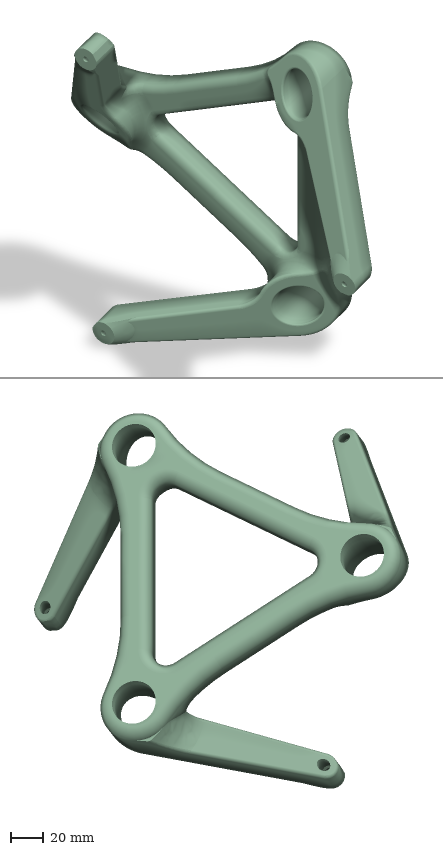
import cadquery as cq
import math

ARM_COUNT = 3
HUB_DISTANCE = 98.0
HUB_RADIUS = 23.0
BORE_DIAMETER = 28.1
BORE_ROUND = 1.0
TOTAL_DEPTH = 94.0

BAR_SIZE = 20.0
BAR_STRAIGHT = 27.5
INNER_CORNER = 10.1
BACK_ROUND = 7.0
FRONT_ROUND = 4.8
BOSS_FLARE = 10.1

TIP_INWARD = 29.5
TIP_UP = 103.7
TIP_RADIUS = 8.0
LEG_THICKNESS = 20.5
LEG_TILT = 30
LEG_FRONT_DEPTH = 32.7
LEG_BACK_FILLET = 30.5
BLEND_INSET = 0.5
LEG_INNER_TAPER = 2
LEG_INNER_BLEND = 15.2
LEG_EDGE_ROUND = 2.0

FOOT_HOLE_DIAMETER = 4.0
FOOT_COUNTERBORE_DIAMETER = 7.5
FOOT_FLOOR = 10.1
FOOT_FLARE_REACH = 17.7
FOOT_ROOT = 2.5

BAR_HALF = BAR_SIZE / 2
BAR_OFFSET = HUB_DISTANCE / 2
BAR_TO_HUB = HUB_DISTANCE * math.sqrt(3) / 2
SLOPE = math.tan(math.radians(LEG_TILT))
LEG_LENGTH = math.hypot(TIP_INWARD, TIP_UP)
LEG_ANGLE = math.degrees(math.atan2(TIP_UP, TIP_INWARD))
LEG_BACK_DEPTH = LEG_FRONT_DEPTH - LEG_THICKNESS / math.cos(math.radians(LEG_TILT))
BAR_OVERRUN = 12.7
TALL = 152
WIDE = 507


def bar_point(along, out, side):
    """Point near a bar: along from its middle toward the hub, out from its centre line."""
    root = math.sqrt(3) / 2
    x = -(BAR_OFFSET + out) / 2 - along * root
    z = (BAR_OFFSET + out) * root - along / 2
    return x, side * z


def frame_outline():
    """Hub with its two half bars."""
    run = BAR_TO_HUB - BAR_STRAIGHT
    flare = (run**2 + BAR_HALF**2 - HUB_RADIUS**2) / (2 * (HUB_RADIUS - BAR_HALF))
    turn = math.atan2(run, flare + BAR_HALF)

    def on_flare(angle, side):
        along = BAR_STRAIGHT + flare * math.sin(angle)
        return bar_point(along, BAR_HALF + flare * (1 - math.cos(angle)), side)

    inner_offset = BAR_OFFSET - BAR_HALF
    inner_end = (inner_offset - INNER_CORNER) * math.sqrt(3)
    return (
        cq.Workplane("XZ")
        .moveTo(*bar_point(-BAR_OVERRUN, BAR_HALF, 1))
        .lineTo(*bar_point(BAR_STRAIGHT, BAR_HALF, 1))
        .threePointArc(on_flare(turn / 2, 1), on_flare(turn, 1))
        .threePointArc((-HUB_DISTANCE - HUB_RADIUS, 0), on_flare(turn, -1))
        .threePointArc(on_flare(turn / 2, -1), bar_point(BAR_STRAIGHT, BAR_HALF, -1))
        .lineTo(*bar_point(-BAR_OVERRUN, BAR_HALF, -1))
        .lineTo(*bar_point(-BAR_OVERRUN, -BAR_HALF, -1))
        .lineTo(*bar_point(inner_end, -BAR_HALF, -1))
        .threePointArc((-2 * inner_offset + INNER_CORNER, 0), bar_point(inner_end, -BAR_HALF, 1))
        .lineTo(*bar_point(-BAR_OVERRUN, -BAR_HALF, 1))
        .close()
    )


def place_on_leg(shape):
    """Move a shape built with the leg along +X from the origin onto the hub."""
    return shape.rotate((0, 0, 0), (0, 1, 0), -LEG_ANGLE).translate((-HUB_DISTANCE, 0, 0))


def leg_outline():
    """Leg and hub along +X; the outer side (+Z) is tangent to hub and foot."""
    lean = math.asin((HUB_RADIUS - TIP_RADIUS) / LEG_LENGTH)
    taper = math.radians(LEG_INNER_TAPER)

    def outer(radius):
        return radius * math.sin(lean), radius * math.cos(lean)

    hub_x, hub_z = outer(HUB_RADIUS)
    tip_x, tip_z = outer(TIP_RADIUS)
    inner_x = LEG_LENGTH + TIP_RADIUS * math.sin(taper)
    inner_z = -TIP_RADIUS * math.cos(taper)
    reach = HUB_RADIUS + LEG_INNER_BLEND
    side_gap = TIP_RADIUS - LEG_LENGTH * math.sin(taper)
    blend_angle = math.asin((side_gap + LEG_INNER_BLEND) / reach) + taper
    blend_x = reach * math.cos(blend_angle)
    blend_z = -reach * math.sin(blend_angle)

    def on_blend(angle):
        return blend_x + LEG_INNER_BLEND * math.cos(angle), blend_z + LEG_INNER_BLEND * math.sin(angle)

    blend_start = math.pi - blend_angle
    blend_end = math.pi / 2 - taper
    return (
        cq.Workplane("XZ")
        .moveTo(hub_x, hub_z)
        .lineTo(LEG_LENGTH + tip_x, tip_z)
        .threePointArc((LEG_LENGTH + TIP_RADIUS, 0), (inner_x, inner_z))
        .lineTo(*on_blend(blend_end))
        .threePointArc(
            on_blend((blend_start + blend_end) / 2),
            (HUB_RADIUS * math.cos(blend_angle), -HUB_RADIUS * math.sin(blend_angle)),
        )
        .threePointArc((-HUB_RADIUS, 0), (hub_x, hub_z))
        .close()
    )


def boss_footprint():
    """Hub disc squared off across the lower bar, joined to the leg outline."""
    corner = (
        cq.Workplane("XZ")
        .moveTo(0, -HUB_RADIUS)
        .rect(2 * HUB_RADIUS, 2 * HUB_RADIUS)
        .extrude(TALL)
        .rotate((0, 0, 0), (0, 1, 0), 30)
        .translate((-HUB_DISTANCE, 0, 0))
    )
    return place_on_leg(leg_outline().extrude(TALL)).union(corner)


def beyond_leg_front():
    """Space in front of the tilted leg front plane, wide enough for leg and hub boss only."""
    half_width = HUB_RADIUS + 1.5 * BOSS_FLARE
    start, end = -WIDE / 2, WIDE / 2
    wedge = (
        cq.Workplane("XY")
        .moveTo(start, -LEG_FRONT_DEPTH - start * SLOPE)
        .lineTo(end, -LEG_FRONT_DEPTH - end * SLOPE)
        .lineTo(end, -WIDE)
        .lineTo(start, -WIDE)
        .close()
        .extrude(half_width, both=True)
    )
    return place_on_leg(wedge)


def frame_wedge():
    """Sector of the frame that belongs to one arm."""
    half_width = WIDE * math.sqrt(3)
    return cq.Workplane("XZ").polyline([(0, 0), (-WIDE, half_width), (-WIDE, -half_width)]).close().extrude(TALL)


def hub_and_bars():
    """Hub boss flared onto two half bars, with rounded back and front edges."""
    plate = cq.Workplane("XZ").rect(WIDE, WIDE).extrude(BAR_SIZE)
    block = plate.union(boss_footprint())
    reach = 0.45 * WIDE
    near_front = cq.selectors.BoxSelector((-reach, -BAR_SIZE - 0.3, -reach), (reach, -BAR_SIZE + 0.3, reach))
    block = block.edges(near_front).fillet(BOSS_FLARE)
    block = frame_outline().extrude(TALL).intersect(block)
    block = block.faces(">Y").edges().fillet(BACK_ROUND)
    return block.edges(near_front).fillet(FRONT_ROUND)


def leg():
    """Leg from its tilted back, blended into the hub, forward past its front plane."""
    start, end = -WIDE / 2, WIDE / 2
    slab = (
        cq.Workplane("XY")
        .moveTo(start, -LEG_BACK_DEPTH - start * SLOPE)
        .lineTo(end, -LEG_BACK_DEPTH - end * SLOPE)
        .lineTo(end, -WIDE)
        .lineTo(start, -WIDE)
        .close()
        .extrude(WIDE / 2, both=True)
    )
    hub = cq.Workplane("XZ", origin=(0, TALL, 0)).circle(HUB_RADIUS - BLEND_INSET).extrude(1.2 * TALL)
    stock = slab.union(hub).edges("%ELLIPSE").fillet(LEG_BACK_FILLET)
    below_round = cq.Workplane("XZ", origin=(0, -BACK_ROUND, 0)).rect(WIDE, WIDE).extrude(TALL)
    blank = leg_outline().extrude(TALL).intersect(below_round).intersect(stock)
    return place_on_leg(blank)


def beyond_feet():
    """Space in front of the plane of the feet."""
    return cq.Workplane("XZ", origin=(0, -TOTAL_DEPTH, 0)).rect(WIDE, WIDE).extrude(TALL)


def foot():
    """Cone from inside the leg out to the round foot face."""
    start_depth = LEG_FRONT_DEPTH + (LEG_LENGTH - FOOT_FLARE_REACH) * SLOPE
    spread = (FOOT_FLARE_REACH - TIP_RADIUS) / (TOTAL_DEPTH - start_depth)
    height = TOTAL_DEPTH - start_depth + FOOT_ROOT
    cone = cq.Solid.makeCone(
        TIP_RADIUS + spread * height,
        TIP_RADIUS,
        height,
        cq.Vector(LEG_LENGTH, height - TOTAL_DEPTH, 0),
        cq.Vector(0, -1, 0),
    )
    return place_on_leg(leg_outline().extrude(TALL).intersect(cq.Workplane(cone)))


def bore():
    return cq.Workplane("XZ").circle(BORE_DIAMETER / 2).extrude(TALL).translate((-HUB_DISTANCE, 0, 0))


def foot_hole():
    """Through hole with a counterbore from the back of the leg."""
    through = cq.Workplane("XZ").circle(FOOT_HOLE_DIAMETER / 2).extrude(TALL)
    counterbore = cq.Workplane("XZ").circle(FOOT_COUNTERBORE_DIAMETER / 2).extrude(TOTAL_DEPTH - FOOT_FLOOR)
    hole = through.union(counterbore)
    return place_on_leg(hole.translate((LEG_LENGTH, 0, 0)))


def arm():
    """One third of the frame with its hub, leg and foot."""
    body = hub_and_bars().union(leg()).cut(beyond_leg_front())
    lean = math.radians(LEG_ANGLE)
    front_normal = cq.Vector(-SLOPE * math.cos(lean), -1, -SLOPE * math.sin(lean))
    tilted = cq.selectors.ParallelDirSelector(front_normal)
    body = body.faces(tilted).edges().fillet(LEG_EDGE_ROUND)
    body = body.cut(beyond_feet()).union(foot())
    body = body.cut(bore())
    bore_rim = cq.selectors.NearestToPointSelector((-HUB_DISTANCE, -LEG_FRONT_DEPTH, 0))
    body = body.edges("%ELLIPSE").edges(bore_rim).fillet(BORE_ROUND)
    body = body.cut(foot_hole())
    return body.intersect(frame_wedge())


arm_blank = arm()
arms = [arm_blank.rotate((0, 0, 0), (0, 1, 0), i * 360 / ARM_COUNT).val() for i in range(ARM_COUNT)]
result = cq.Compound.makeCompound(arms)